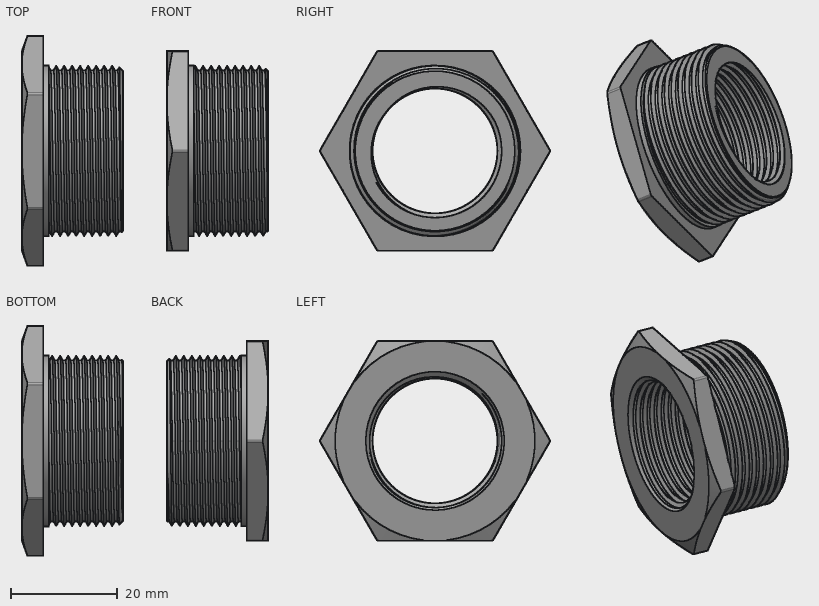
import cadquery as cq
import math

across_flats = 37.5
across_corners = 43.15
flange_thickness = 4.0
corner_bevel_depth = 1.05

collar_radius = 32.1 / 2
collar_end = 5.05
overall_length = 19.0
tip_chamfer = 1.0

ten_pitches = 15.0
pitch = ten_pitches / 10
flank_angle = math.radians(30)
outer_crest_radius = 15.95
outer_root_radius = 15.15
outer_crest_start = 3.8
inner_crest_radius = 11.7
inner_root_radius = 12.5
inner_crest_start = -2.25

entry_radius = 25.98 / 2
entry_depth = entry_radius - inner_crest_radius

run_out = 4.3
overlap = 0.15
clearance = 0.45


def disc(radius, start, end):
    """Cylinder along X between two stations."""
    return cq.Workplane("YZ").workplane(offset=start).circle(radius).extrude(end - start)


def turned(points):
    """Body of revolution about X from (x, radius) points."""
    return cq.Workplane("XY").polyline(points).close().revolve(360, (0, 0, 0), (1, 0, 0))


def helical_ridge(root_radius, crest_radius, crest_start, turns):
    """V-shaped helical ridge about X, pointing outward or inward from the root radius."""
    base_radius = root_radius - math.copysign(overlap, crest_radius - root_radius)
    half_width = abs(crest_radius - base_radius) * math.tan(flank_angle)
    path = cq.Wire.makeHelix(pitch, turns * pitch, base_radius)
    ridge = (
        cq.Workplane("XZ")
        .polyline([(base_radius, -half_width), (crest_radius, 0), (base_radius, half_width)])
        .close()
        .sweep(cq.Workplane(path), isFrenet=True)
    )
    ridge = ridge.rotate((0, 0, 0), (0, 1, 0), 90)
    ridge = ridge.rotate((0, 0, 0), (1, 0, 0), 180)
    return ridge.translate((crest_start, 0, 0))


def threaded_cylinder(root_radius, crest_radius, crest_start):
    """Cylinder running past both ends of the part, with an outward ridge added or an inward one cut away."""
    turns = math.ceil((overall_length - crest_start) / pitch) + 1
    ridge = helical_ridge(root_radius, crest_radius, crest_start, turns)
    core = disc(root_radius, -run_out, overall_length + run_out)
    if crest_radius > root_radius:
        return core.union(ridge)
    return core.cut(ridge)


def hex_flange():
    """Hexagon with rounded corners, bevelled to a circle on its outer face."""
    corner_radius = across_corners / 2
    flat_to_corner = 1 / math.cos(math.pi / 6)
    sharp_corner_radius = across_flats / 2 * flat_to_corner
    corner_rounding = (sharp_corner_radius - corner_radius) / (flat_to_corner - 1)
    flange = (
        cq.Workplane("YZ")
        .polygon(6, 2 * sharp_corner_radius)
        .extrude(flange_thickness)
        .edges("|X")
        .fillet(corner_rounding)
    )
    bevel = turned([
        (0, 0),
        (0, across_flats / 2),
        (corner_bevel_depth, corner_radius),
        (corner_bevel_depth, corner_radius + clearance),
        (flange_thickness, corner_radius + clearance),
        (flange_thickness, 0),
    ])
    return flange.intersect(bevel)


def threaded_shank():
    """Plain collar and outside thread, chamfered at 45 degrees on the free end."""
    tip_radius = outer_crest_radius - tip_chamfer
    envelope = turned([
        (0, 0),
        (0, collar_radius),
        (overall_length - (collar_radius - tip_radius), collar_radius),
        (overall_length, tip_radius),
        (overall_length, 0),
    ])
    thread = threaded_cylinder(outer_root_radius, outer_crest_radius, outer_crest_start)
    return thread.intersect(envelope).union(disc(collar_radius, 0, collar_end))


def threaded_bore():
    """Cutter for the through hole with inside thread and conical entry."""
    entry = turned([(0, 0), (0, entry_radius), (entry_depth, inner_crest_radius), (entry_depth, 0)])
    return threaded_cylinder(inner_root_radius, inner_crest_radius, inner_crest_start).union(entry)


result = hex_flange().union(threaded_shank()).cut(threaded_bore())